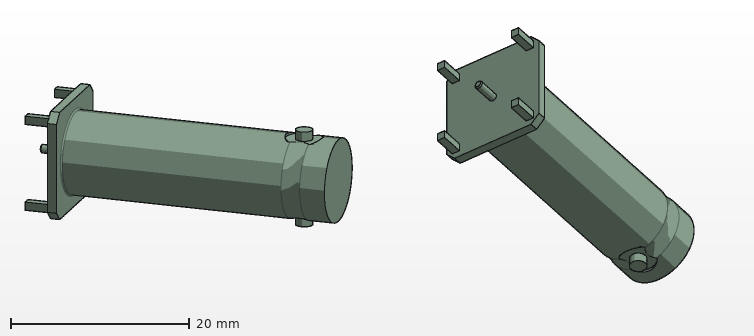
import cadquery as cq
import math

total_length = 35.23
flange_size = 12.7
flange_start = 2.9
flange_thickness = 1.1
corner_cut = 1.1
flange_end = flange_start + flange_thickness

barrel_radius = 4.83
root_fillet = 0.18

leg_size = 1.0
leg_spacing = 10.15
pin_radius = 0.5
pin_chamfer = 0.15

lug_x = 31.18
lug_radius = 1.0
lug_tip = 5.6
seat_radius = 2.15
seat_height = 4.5
groove_width = 2.22
groove_depth = 0.15


def make_flange():
    """Square flange with cut corners."""
    plate = cq.Workplane("YZ", origin=(flange_start, 0, 0)).rect(flange_size, flange_size)
    return plate.extrude(flange_thickness).edges("|X").chamfer(corner_cut)


def make_barrel():
    """Barrel with a concave fillet where it meets the flange."""
    fillet_mid = root_fillet * (1 - math.sqrt(0.5))
    profile = (
        cq.Workplane("XY")
        .moveTo(flange_end, 0)
        .lineTo(flange_end, barrel_radius + root_fillet)
        .threePointArc(
            (flange_end + fillet_mid, barrel_radius + fillet_mid),
            (flange_end + root_fillet, barrel_radius),
        )
        .lineTo(total_length, barrel_radius)
        .lineTo(total_length, 0)
        .close()
    )
    return profile.revolve(360, (0, 0, 0), (1, 0, 0))


def make_groove():
    """Shallow ring with an arc-shaped bottom, to be cut from the barrel."""
    profile = (
        cq.Workplane("XY")
        .moveTo(lug_x - groove_width / 2, barrel_radius)
        .threePointArc(
            (lug_x, barrel_radius - groove_depth),
            (lug_x + groove_width / 2, barrel_radius),
        )
        .lineTo(lug_x + groove_width / 2, barrel_radius + groove_depth)
        .lineTo(lug_x - groove_width / 2, barrel_radius + groove_depth)
        .close()
    )
    return profile.revolve(360, (0, 0, 0), (1, 0, 0))


def make_lug_seat():
    """Round cutter that leaves a flat seat on the +Z side of the barrel."""
    return cq.Workplane("XY", origin=(lug_x, 0, seat_height)).circle(seat_radius).extrude(lug_tip - seat_height)


def make_lugs():
    """One rod crossing the barrel, with both ends standing out as lugs."""
    return cq.Workplane("XY", origin=(lug_x, 0, 0)).circle(lug_radius).extrude(lug_tip, both=True)


def make_legs():
    """Four square legs on the front of the flange."""
    return (
        cq.Workplane("YZ")
        .rarray(leg_spacing, leg_spacing, 2, 2)
        .rect(leg_size, leg_size)
        .extrude(flange_end)
    )


def make_pin():
    """Contact pin with a chamfered tip."""
    return cq.Workplane("YZ").circle(pin_radius).extrude(flange_end).faces("<X").chamfer(pin_chamfer)


upper_seat = make_lug_seat()
lower_seat = upper_seat.mirror("XY")

barrel = make_barrel().cut(make_groove()).cut(upper_seat).cut(lower_seat)
result = make_flange().union(barrel).union(make_lugs()).union(make_legs()).union(make_pin())